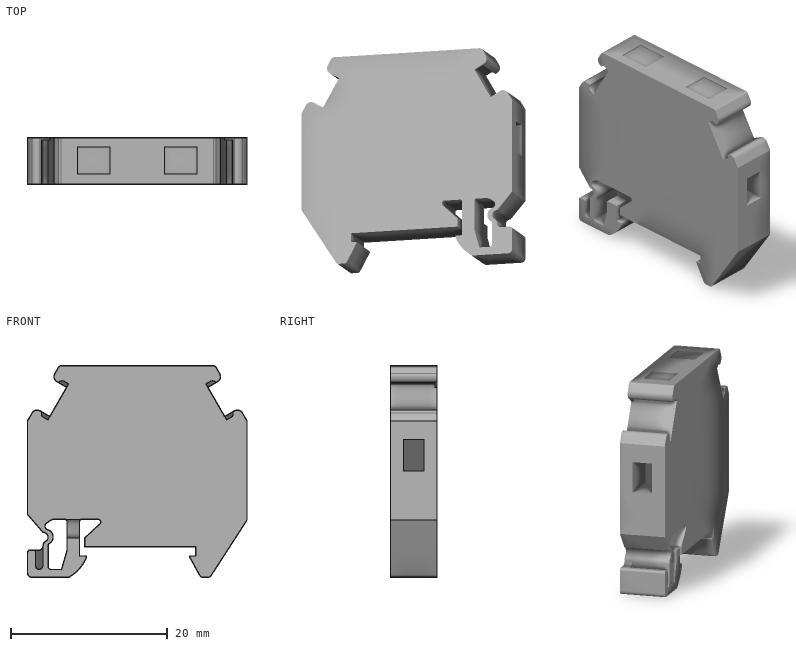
import cadquery as cq
import math

LENGTH = 28.0
THICKNESS = 6.0
HEIGHT = 27.0

SHOULDER_Z = 19.95
SHOULDER_ANGLE = 60.0
GROOVE_DEPTH = 2.18
GROOVE_START = 1.9
GROOVE_WIDTH = 4.28
GROOVE_OVERCUT = 0.28
LIP_RADIUS = 0.75
TOP_EDGE_RADIUS = 0.4
UNDERCUT_REACH = 0.5
UNDERCUT_HEIGHT = 1.18
UNDERCUT_WEB = 0.3

RAIL_SEAT_Z = 3.9
CATCH_Z = 2.75
FIXED_SIDE_BOTTOM_Z = 7.28
FIXED_FOOT_X = 23.3
FIXED_FOOT_WIDTH = 1.2
FIXED_CATCH_X = 20.65
FIXED_WALL_X = 21.45
FIXED_FOOT_RADIUS = 0.42
CATCH_TIP_Z = 2.6
CATCH_TIP_RADIUS = 0.1

CEILING_Z = 7.4
SEAT_EDGE_X = 7.28
SEAT_EDGE_Z = 5.0
WEDGE_TIP_X = 9.85
WEDGE_TIP_RADIUS = 0.35

SPRING_SIDE_BOTTOM_Z = 8.0
FOOT_TOP_Z = 3.47
FOOT_FLOOR_Z = 1.0
FOOT_OUTER_RADIUS = 0.53
FOOT_TOP_RADIUS = 0.3
FOOT_WEB_RADIUS = 0.5
WEB_OUTER_X = 1.95
WEB_INNER_X = 2.65
WEB_CORNER_RADIUS = 0.35
POST_LEFT_X = 5.0
POST_RIGHT_X = 6.65
POST_TOP_Z = 5.0
POST_TAPER_Z = 3.4
POST_FOOT_X = 4.35
LATCH_TIP_X = 7.5
LATCH_TIP_Z = 2.45
LATCH_HEEL_X = 5.3
LATCH_NOSE_MID = (6.6, 1.05)

BULGE_INNER_START = (WEB_INNER_X, 4.23)
BULGE_INNER_CREST = (3.28, 5.15)
BULGE_INNER_END = (2.7, 6.05)
CAVITY_ROUND_START = (2.5, 6.1)
CAVITY_ROUND_CREST = (2.25, 6.47)
CAVITY_ROUND_END = (2.4, 6.9)
CAVITY_BEVEL_MID = (2.95, 7.25)
CAVITY_BEVEL_TOP_X = 3.28
BULGE_OUTER_START = (1.95, 5.75)
BULGE_OUTER_CREST = (2.6, 5.12)
BULGE_OUTER_END = (2.45, 4.68)
WEB_BEND_MID = (2.1, 4.4)

COLUMN_FRONT_Y = 1.75
COLUMN_FILLET = 0.22

FOOT_SLOT_X = 1.0
FOOT_SLOT_DEPTH = 4.95
FOOT_SLOT_EDGE_RADIUS = 0.25

LABEL_LENGTH = 4.15
LABEL_WIDTH = 3.47
LABEL_SPACING = 11.15
LABEL_CENTER_Y = 3.05
LABEL_DEPTH = 0.15

WINDOW_WIDTH = 2.58
WINDOW_HEIGHT = 4.03
WINDOW_CENTER_Y = THICKNESS / 2
WINDOW_CENTER_Z = 15.57
WINDOW_DEPTH = 5.6

MID_X = LENGTH / 2
SHOULDER_RUN = (HEIGHT - SHOULDER_Z) / math.tan(math.radians(SHOULDER_ANGLE))


def front_sketch():
    """XZ sketch plane on the front face; negative extrusion goes into the part."""
    return cq.Workplane(cq.Plane(origin=(0, 0, 0), xDir=(1, 0, 0), normal=(0, -1, 0)))


def mirrored(point):
    """Mirror an (x, z) point about the middle of the length."""
    return (LENGTH - point[0], point[1])


def shoulder_point(along, inward):
    """(x, z) of a point measured up the -X shoulder and square into the body."""
    angle = math.radians(SHOULDER_ANGLE)
    x = along * math.cos(angle) + inward * math.sin(angle)
    z = SHOULDER_Z + along * math.sin(angle) - inward * math.cos(angle)
    return (x, z)


def round_edges(solid, points, radius):
    """Fillet the thickness-direction edges that pass through the (x, z) points."""
    for x, z in points:
        nearest = cq.selectors.NearestToPointSelector((x, THICKNESS / 2, z))
        solid = solid.edges("|Y").edges(nearest).fillet(radius)
    return solid


def body_profile():
    """Closed outline, counter-clockwise from the foot, with the shoulders still ungrooved."""
    return (
        front_sketch()
        .moveTo(0, 0)
        .lineTo(LATCH_HEEL_X, 0)
        .threePointArc(LATCH_NOSE_MID, (LATCH_TIP_X, LATCH_TIP_Z))
        .lineTo(LATCH_TIP_X, CATCH_Z)
        .lineTo(POST_RIGHT_X, CATCH_Z)
        .lineTo(POST_RIGHT_X, POST_TOP_Z)
        .lineTo(POST_LEFT_X, POST_TOP_Z)
        .lineTo(POST_LEFT_X, POST_TAPER_Z)
        .lineTo(POST_FOOT_X, FOOT_FLOOR_Z)
        .lineTo(WEB_INNER_X, FOOT_FLOOR_Z)
        .lineTo(*BULGE_INNER_START)
        .threePointArc(BULGE_INNER_CREST, BULGE_INNER_END)
        .lineTo(*CAVITY_ROUND_START)
        .threePointArc(CAVITY_ROUND_CREST, CAVITY_ROUND_END)
        .lineTo(*CAVITY_BEVEL_MID)
        .lineTo(CAVITY_BEVEL_TOP_X, CEILING_Z)
        .lineTo(WEDGE_TIP_X, CEILING_Z)
        .lineTo(SEAT_EDGE_X, SEAT_EDGE_Z)
        .lineTo(SEAT_EDGE_X, RAIL_SEAT_Z)
        .lineTo(FIXED_WALL_X, RAIL_SEAT_Z)
        .lineTo(FIXED_WALL_X, CATCH_Z)
        .lineTo(FIXED_CATCH_X, CATCH_Z)
        .lineTo(FIXED_CATCH_X, CATCH_TIP_Z)
        .lineTo(FIXED_FOOT_X - FIXED_FOOT_WIDTH, 0)
        .lineTo(FIXED_FOOT_X, 0)
        .lineTo(LENGTH, FIXED_SIDE_BOTTOM_Z)
        .lineTo(LENGTH, SHOULDER_Z)
        .lineTo(LENGTH - SHOULDER_RUN, HEIGHT)
        .lineTo(SHOULDER_RUN, HEIGHT)
        .lineTo(0, SHOULDER_Z)
        .lineTo(0, SPRING_SIDE_BOTTOM_Z)
        .lineTo(*BULGE_OUTER_START)
        .threePointArc(BULGE_OUTER_CREST, BULGE_OUTER_END)
        .threePointArc(WEB_BEND_MID, (WEB_OUTER_X, FOOT_TOP_Z + FOOT_WEB_RADIUS))
        .radiusArc((WEB_OUTER_X - FOOT_WEB_RADIUS, FOOT_TOP_Z), FOOT_WEB_RADIUS)
        .lineTo(0, FOOT_TOP_Z)
        .close()
    )


def make_body():
    body = body_profile().extrude(-THICKNESS)
    body = round_edges(body, [(0, 0)], FOOT_OUTER_RADIUS)
    body = round_edges(body, [(0, FOOT_TOP_Z)], FOOT_TOP_RADIUS)
    body = round_edges(body, [(WEB_INNER_X, FOOT_FLOOR_Z)], WEB_CORNER_RADIUS)
    body = round_edges(body, [(WEDGE_TIP_X, CEILING_Z)], WEDGE_TIP_RADIUS)
    body = round_edges(body, [(FIXED_CATCH_X, CATCH_Z)], CATCH_TIP_RADIUS)
    foot_corners = [(FIXED_FOOT_X - FIXED_FOOT_WIDTH, 0), (FIXED_FOOT_X, 0)]
    body = round_edges(body, foot_corners, FIXED_FOOT_RADIUS)
    top_corner = (SHOULDER_RUN, HEIGHT)
    return round_edges(body, [top_corner, mirrored(top_corner)], TOP_EDGE_RADIUS)


def shoulder_prism(start, end, top, bottom, depth):
    """Prism along the -X shoulder, between two depths below the shoulder surface."""
    corners = [
        shoulder_point(start, top),
        shoulder_point(start, bottom),
        shoulder_point(end, bottom),
        shoulder_point(end, top),
    ]
    return front_sketch().polyline(corners).close().extrude(-depth)


def cut_shoulder_grooves(body):
    groove_end = GROOVE_START + GROOVE_WIDTH
    groove = shoulder_prism(GROOVE_START, groove_end, -GROOVE_OVERCUT, GROOVE_DEPTH, THICKNESS)
    body = body.cut(groove).cut(groove.mirror("YZ", (MID_X, 0, 0)))

    lips = [shoulder_point(GROOVE_START, 0), shoulder_point(groove_end, 0)]
    body = round_edges(body, lips + [mirrored(lip) for lip in lips], LIP_RADIUS)

    undercut_start = GROOVE_START - UNDERCUT_REACH
    undercut_end = groove_end + UNDERCUT_REACH
    undercut_top = GROOVE_DEPTH - UNDERCUT_HEIGHT
    undercut = shoulder_prism(
        undercut_start, undercut_end, undercut_top, GROOVE_DEPTH, THICKNESS - UNDERCUT_WEB
    )
    outer_corners = [
        shoulder_point(undercut_start, undercut_top),
        shoulder_point(undercut_end, undercut_top),
    ]
    undercut = round_edges(undercut, outer_corners, UNDERCUT_REACH)
    return body.cut(undercut).cut(undercut.mirror("YZ", (MID_X, 0, 0)))


def add_column(body):
    column_depth = THICKNESS - COLUMN_FRONT_Y
    column = cq.Workplane("XY").box(
        POST_RIGHT_X - POST_LEFT_X, column_depth, CEILING_Z - POST_TOP_Z, centered=False
    )
    body = body.union(column.translate((POST_LEFT_X, COLUMN_FRONT_Y, POST_TOP_Z)))
    ceiling_corners = [(POST_LEFT_X, CEILING_Z), (POST_RIGHT_X, CEILING_Z)]
    return round_edges(body, ceiling_corners, COLUMN_FILLET)


def cut_foot_slot(body):
    """Round-bottomed slot between the foot's outer wall and the spring web."""
    width = WEB_OUTER_X - FOOT_SLOT_X
    round_center_z = FOOT_FLOOR_Z + width / 2
    edge = FOOT_SLOT_EDGE_RADIUS
    edge_mid = edge * (1 - math.sqrt(0.5))
    slot_top = FOOT_TOP_Z + FOOT_WEB_RADIUS
    slot = (
        front_sketch()
        .moveTo(FOOT_SLOT_X, round_center_z)
        .threePointArc((FOOT_SLOT_X + width / 2, FOOT_FLOOR_Z), (WEB_OUTER_X, round_center_z))
        .lineTo(WEB_OUTER_X, slot_top)
        .lineTo(FOOT_SLOT_X - edge, slot_top)
        .lineTo(FOOT_SLOT_X - edge, FOOT_TOP_Z)
        .threePointArc((FOOT_SLOT_X - edge_mid, FOOT_TOP_Z - edge_mid), (FOOT_SLOT_X, FOOT_TOP_Z - edge))
        .close()
        .extrude(-FOOT_SLOT_DEPTH)
    )
    return body.cut(slot)


def cut_label_recesses(body):
    recess = cq.Workplane("XY").box(LABEL_LENGTH, LABEL_WIDTH, 2 * LABEL_DEPTH)
    for side in (-1, 1):
        center_x = MID_X + side * LABEL_SPACING / 2
        body = body.cut(recess.translate((center_x, LABEL_CENTER_Y, HEIGHT)))
    return body


def cut_wire_windows(body):
    window = cq.Workplane("XY").box(2 * WINDOW_DEPTH, WINDOW_WIDTH, WINDOW_HEIGHT)
    for side_x in (0, LENGTH):
        body = body.cut(window.translate((side_x, WINDOW_CENTER_Y, WINDOW_CENTER_Z)))
    return body


result = make_body()
result = cut_shoulder_grooves(result)
result = add_column(result)
result = cut_foot_slot(result)
result = cut_label_recesses(result)
result = cut_wire_windows(result)